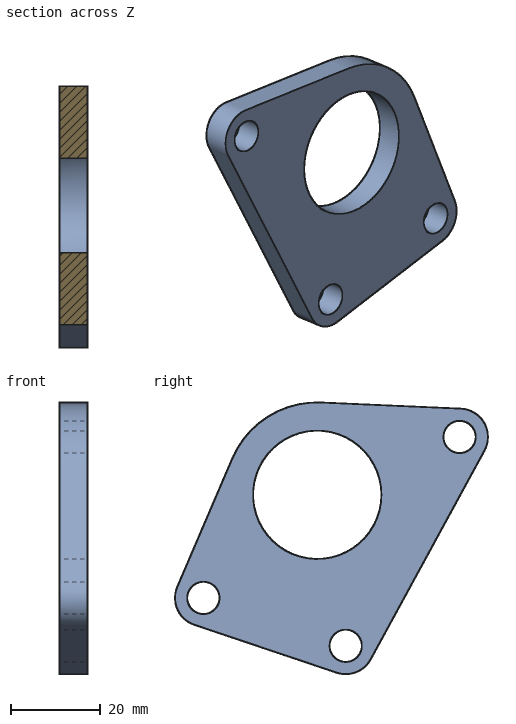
import cadquery as cq
import math

THICKNESS = 6.35
BORE_DIAMETER = 28.57
BOLT_HOLE_DIAMETER = 7.14
RIM_WIDTH = 6.35
EAR_RADIUS = 6.35

BORE_CENTER = (0.0, 0.0)
UPPER_HOLE = (31.75, 12.9)
BOTTOM_HOLE = (6.35, -33.68)
SIDE_HOLE = (-25.4, -23.0)
BOLT_HOLES = [UPPER_HOLE, BOTTOM_HOLE, SIDE_HOLE]

rim_radius = BORE_DIAMETER / 2 + RIM_WIDTH

CORNERS = [
    (BORE_CENTER, rim_radius),
    (SIDE_HOLE, EAR_RADIUS),
    (BOTTOM_HOLE, EAR_RADIUS),
    (UPPER_HOLE, EAR_RADIUS),
]


def point_on_circle(center, radius, angle):
    return (center[0] + radius * math.cos(angle), center[1] + radius * math.sin(angle))


def outward_normal_angle(start, end):
    """Angle of the outward normal to the outer tangent line from one corner to the next."""
    (start_center, start_radius), (end_center, end_radius) = start, end
    dy = end_center[0] - start_center[0]
    dz = end_center[1] - start_center[1]
    tilt = math.acos((start_radius - end_radius) / math.hypot(dy, dz))
    return math.atan2(dz, dy) - tilt


def make_plate():
    """Plate whose outline is straight tangent edges joined by an arc around each corner."""
    count = len(CORNERS)
    normals = [outward_normal_angle(CORNERS[i], CORNERS[(i + 1) % count]) for i in range(count)]
    first_center, first_radius = CORNERS[0]
    outline = cq.Workplane("YZ").moveTo(*point_on_circle(first_center, first_radius, normals[-1]))
    for i, (center, radius) in enumerate(CORNERS):
        arc_start = normals[i - 1]
        sweep = (normals[i] - arc_start) % (2 * math.pi)
        if i > 0:
            outline = outline.lineTo(*point_on_circle(center, radius, arc_start))
        outline = outline.threePointArc(
            point_on_circle(center, radius, arc_start + sweep / 2),
            point_on_circle(center, radius, normals[i]),
        )
    return outline.close().extrude(THICKNESS)


def make_through_holes(centers, diameter):
    return cq.Workplane("YZ").pushPoints(centers).circle(diameter / 2).extrude(THICKNESS)


plate = make_plate()
bore = make_through_holes([BORE_CENTER], BORE_DIAMETER)
bolt_holes = make_through_holes(BOLT_HOLES, BOLT_HOLE_DIAMETER)
result = plate.cut(bore).cut(bolt_holes)